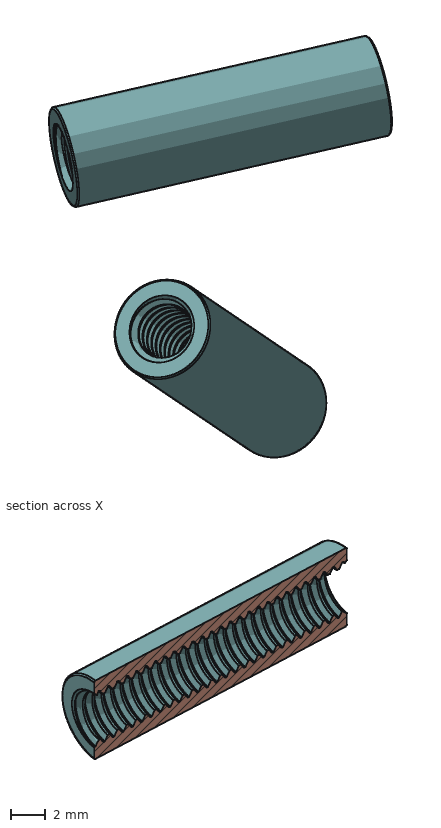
import cadquery as cq
import math

length = 19.0
outer_diameter = 5.95
edge_chamfer = 0.1

major_diameter = 3.99
minor_diameter = 3.25
pitch = 0.7
crest_flat = pitch / 4
root_flat = pitch / 8
thread_start_angle = 112.0
thread_runout_turns = 1
cutter_overlap = 0.05

countersink_diameter = 4.0
countersink_half_angle = 45.0


def sleeve():
    """Solid cylinder with chamfered rims, standing on the XY plane."""
    body = cq.Workplane("XY").circle(outer_diameter / 2).extrude(length)
    return body.faces("<Z or >Z").chamfer(edge_chamfer)


def bore_cutter():
    """Plain through bore at the minor diameter of the thread."""
    return cq.Workplane("XY").circle(minor_diameter / 2).extrude(length)


def countersink_cutter():
    """Cone that opens the lower mouth of the bore out to the countersink diameter."""
    mouth_radius = countersink_diameter / 2
    cone_height = mouth_radius / math.tan(math.radians(countersink_half_angle))
    half_section = cq.Workplane("XZ").polyline([(0, 0), (mouth_radius, 0), (0, cone_height)]).close()
    return half_section.revolve(360, (0, 0), (0, 1))


def thread_cutter():
    """Helical groove with a trapezoidal section, wide at the bore and narrow at the root."""
    minor_radius = minor_diameter / 2
    root_radius = major_diameter / 2
    inner_radius = minor_radius - cutter_overlap
    half_root = root_flat / 2
    half_mouth = (pitch - crest_flat) / 2
    flank_slope = (half_mouth - half_root) / (root_radius - minor_radius)
    half_inner = half_mouth + cutter_overlap * flank_slope

    runout = thread_runout_turns * pitch
    helix = cq.Wire.makeHelix(pitch, length + 2 * runout, minor_radius)
    section = [
        (inner_radius, -half_inner),
        (root_radius, -half_root),
        (root_radius, half_root),
        (inner_radius, half_inner),
    ]
    groove = cq.Workplane("XZ").polyline(section).close().sweep(cq.Workplane(helix), isFrenet=True)
    return groove.translate((0, 0, -runout)).rotate((0, 0, 0), (0, 0, 1), thread_start_angle)


near_countersink = countersink_cutter()
far_countersink = near_countersink.mirror("XY").translate((0, 0, length))

upright = sleeve().cut(near_countersink).cut(far_countersink)
upright = upright.cut(thread_cutter()).cut(bore_cutter())

result = upright.translate((0, 0, -length / 2)).rotate((0, 0, 0), (1, 0, 0), -90)